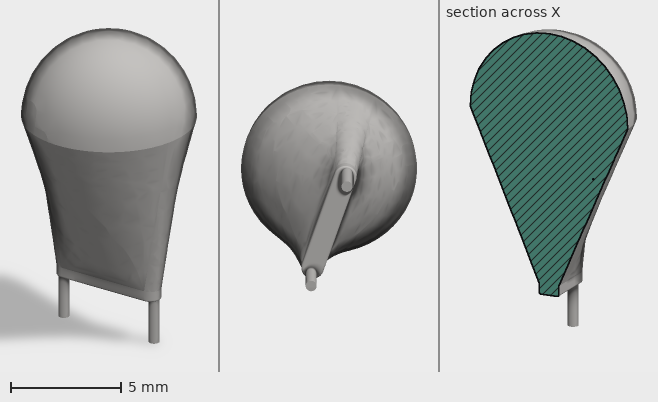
import cadquery as cq
import math

total_height = 14.6
dome_radius = 4.0
dome_height = total_height - dome_radius

base_bottom = 2.12
base_thickness = 0.53
base_top = base_bottom + base_thickness
base_length = 5.6
base_width = 1.02
base_edge_radius = 0.1
pin_diameter = 0.5
pin_spacing = 5.0
pin_offset = pin_spacing / 2

end_half_width = 0.86

plus_x = -2.0
plus_span = 2.69
plus_arm_width = 0.88
plus_corner_radius = 0.36


def rounded_outline(z, corner_x, corner_y, end_x, side_y):
    """Closed outline with curved ends and sides; flat sides if side_y equals corner_y."""
    outline = cq.Workplane("XY", origin=(0, 0, z)).moveTo(corner_x, -corner_y)
    outline = outline.threePointArc((end_x, 0), (corner_x, corner_y))
    if side_y == corner_y:
        outline = outline.lineTo(-corner_x, corner_y)
    else:
        outline = outline.threePointArc((0, side_y), (-corner_x, corner_y))
    outline = outline.threePointArc((-end_x, 0), (-corner_x, -corner_y))
    if side_y == corner_y:
        return outline.close()
    return outline.threePointArc((0, -side_y), (corner_x, -corner_y)).close()


def make_dome():
    ball = cq.Workplane("XY", origin=(0, 0, dome_height)).sphere(dome_radius)
    upper_half = cq.Workplane("XY", origin=(0, 0, dome_height)).box(
        2 * dome_radius, 2 * dome_radius, dome_radius, centered=(True, True, False)
    )
    return ball.intersect(upper_half)


def make_waist():
    """Straight-ruled transition from the slot-shaped base to the round dome."""
    half_width = base_width / 2
    half_length = base_length / 2
    lower = rounded_outline(base_top, half_length - half_width, half_width, half_length, half_width)
    corner_x = math.sqrt(dome_radius**2 - end_half_width**2)
    upper = rounded_outline(dome_height, corner_x, end_half_width, dome_radius, dome_radius)
    wires = [lower.val(), upper.val()]
    return cq.Workplane(cq.Solid.makeLoft(wires, True))


def make_base():
    base = cq.Workplane("XY", origin=(0, 0, base_bottom)).slot2D(base_length, base_width)
    return base.extrude(base_thickness).faces("<Z").edges().fillet(base_edge_radius)


def make_pins():
    pins = cq.Workplane("XY").pushPoints([(-pin_offset, 0), (pin_offset, 0)])
    return pins.circle(pin_diameter / 2).extrude(base_bottom)


def make_plus_prism():
    """Plus-shaped bar that runs through the whole body along Y."""
    depth = 2 * dome_radius
    upright = cq.Workplane("XY").box(plus_arm_width, depth, plus_span)
    crossbar = cq.Workplane("XY").box(plus_span, depth, plus_arm_width)
    upright = upright.edges("|Y").fillet(plus_corner_radius)
    crossbar = crossbar.edges("|Y").fillet(plus_corner_radius)
    return upright.union(crossbar).translate((plus_x, 0, dome_height))


body = make_dome().union(make_waist()).union(make_base()).union(make_pins())

plus_prism = make_plus_prism()
plus_insert = body.intersect(plus_prism)
result = body.cut(plus_prism).union(plus_insert, clean=False)